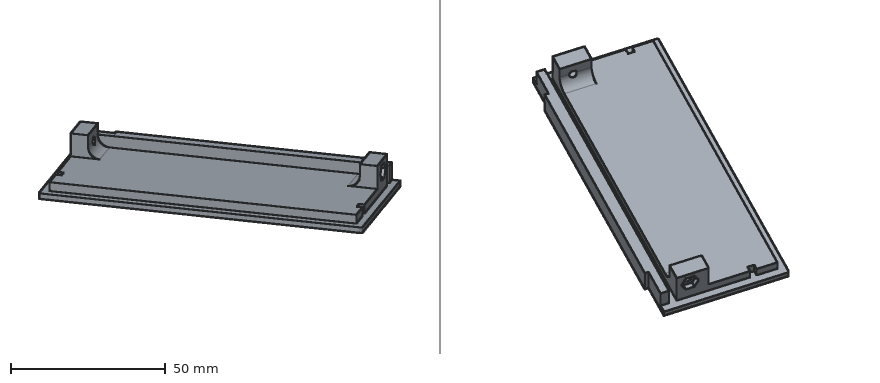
import cadquery as cq

length = 108.8
plate_depth = 43.8
plate_height = 2.0
corner_radius = 0.7

side_inset = 2.8
front_inset = 2.9
platform_back = 38.2
platform_top = 5.0

total_depth = 45.2
wall_thickness = 4.2
wall_top = 7.9
tab_inset = 12.8

lug_width = 5.9
lug_depth = 11.2
lug_top = 13.0
lug_fillet = 3.9

screw_y = 33.5
screw_z = 8.6
screw_diameter = 2.6
nut_corner_diameter = 6.0
nut_pocket_depth = 2.0

notch_front = 10.2
notch_width = 2.3
notch_depth = 2.0

half_length = length / 2
platform_half = half_length - side_inset
lug_inner = platform_half - lug_width


def block(x_range, y_range, z_range):
    """Box spanning the given (low, high) ranges."""
    size = [high - low for low, high in (x_range, y_range, z_range)]
    corner = (x_range[0], y_range[0], z_range[0])
    return cq.Workplane("XY").box(*size, centered=False).translate(corner)


def make_plate():
    plate = block((-half_length, half_length), (0, plate_depth), (0, plate_height))
    return plate.edges("|Z and <Y").fillet(corner_radius)


def make_wall():
    wall_front = total_depth - wall_thickness
    tab_half = half_length - tab_inset
    wall = block((-platform_half, platform_half), (wall_front, plate_depth), (plate_height, wall_top))
    tab = block((-tab_half, tab_half), (wall_front, total_depth), (0, wall_top))
    return wall.union(tab)


def make_platform():
    """Raised platform with a notch in each side."""
    platform = block(
        (-platform_half, platform_half), (front_inset, platform_back), (plate_height, platform_top)
    )
    notch = block(
        (platform_half - notch_depth, platform_half),
        (notch_front, notch_front + notch_width),
        (plate_height, platform_top),
    )
    return platform.cut(notch).cut(notch.mirror("YZ"))


def make_lug():
    """Right-hand lug with a concave fillet running down to the platform."""
    profile = (
        cq.Workplane("XZ", origin=(0, platform_back, 0))
        .moveTo(platform_half, platform_top)
        .lineTo(platform_half, lug_top)
        .lineTo(lug_inner, lug_top)
        .lineTo(lug_inner, platform_top + lug_fillet)
        .radiusArc((lug_inner - lug_fillet, platform_top), lug_fillet)
        .close()
    )
    return profile.extrude(lug_depth)


def make_screw_cut():
    """Screw hole through the right-hand lug, with a hexagonal nut pocket in its outer face."""
    outer_face = cq.Workplane("YZ", origin=(platform_half, screw_y, screw_z))
    hole = outer_face.circle(screw_diameter / 2).extrude(-(lug_width + lug_fillet))
    nut_pocket = outer_face.polygon(6, nut_corner_diameter).extrude(-nut_pocket_depth)
    return hole.union(nut_pocket)


lug = make_lug()
screw_cut = make_screw_cut()
result = make_plate().union(make_wall()).union(make_platform())
result = result.union(lug).union(lug.mirror("YZ"))
result = result.cut(screw_cut).cut(screw_cut.mirror("YZ"))